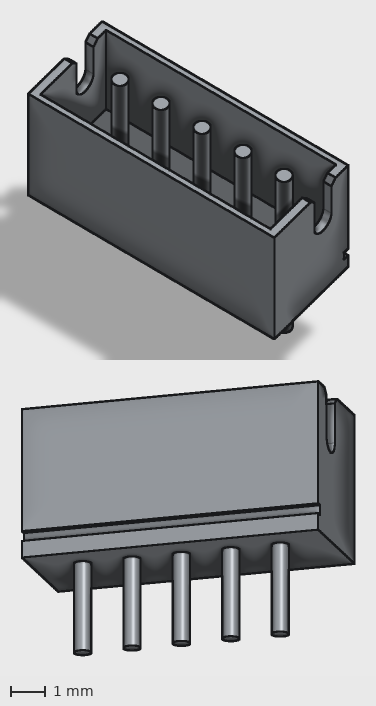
import cadquery as cq

LENGTH = 9.0
WIDTH = 3.5
HEIGHT = 4.5
END_WALL = 0.3
SIDE_WALL = 0.2
FLOOR_THICKNESS = 1.0
BACK_Y = WIDTH / 2

SLOT_WIDTH = 0.8
SLOT_DEPTH = 1.8
SLOT_FROM_BACK = 1.2
SLOT_CHAMFER = 0.2

GROOVE_BOTTOM = 0.5
GROOVE_HEIGHT = 0.3
GROOVE_DEPTH = 0.2

PIN_COUNT = 5
PIN_DIAMETER = 0.5
PIN_PITCH = LENGTH / (PIN_COUNT + 1)
PIN_FROM_BACK = 1.1
PIN_TOP_BELOW_RIM = 0.5
PIN_TAIL = 2.7
PIN_Y = BACK_Y - PIN_FROM_BACK
PIN_LENGTH = PIN_TAIL + HEIGHT - PIN_TOP_BELOW_RIM
PIN_POSITIONS = [((i - (PIN_COUNT - 1) / 2) * PIN_PITCH, PIN_Y) for i in range(PIN_COUNT)]


def make_shell():
    """Box with a rectangular cavity open at the top."""
    box = cq.Workplane("XY").box(LENGTH, WIDTH, HEIGHT, centered=(True, True, False))
    cavity = (
        cq.Workplane("XY")
        .workplane(offset=FLOOR_THICKNESS)
        .rect(LENGTH - 2 * END_WALL, WIDTH - 2 * SIDE_WALL)
        .extrude(HEIGHT - FLOOR_THICKNESS)
    )
    return box.cut(cavity)


def make_end_slots():
    """Slot profile in the YZ plane, run through both end walls."""
    radius = SLOT_WIDTH / 2
    center_y = BACK_Y - SLOT_FROM_BACK
    front_y = center_y - radius
    rear_y = center_y + radius
    slot_bottom = HEIGHT - SLOT_DEPTH
    arc_start = slot_bottom + radius
    chamfer_bottom = HEIGHT - SLOT_CHAMFER
    return (
        cq.Workplane("YZ")
        .moveTo(front_y - SLOT_CHAMFER, HEIGHT)
        .lineTo(front_y, chamfer_bottom)
        .lineTo(front_y, arc_start)
        .threePointArc((center_y, slot_bottom), (rear_y, arc_start))
        .lineTo(rear_y, chamfer_bottom)
        .lineTo(rear_y + SLOT_CHAMFER, HEIGHT)
        .close()
        .extrude(LENGTH / 2, both=True)
    )


def make_back_groove():
    """Rectangular bar that cuts the groove along the whole back wall."""
    return (
        cq.Workplane("XY")
        .box(LENGTH, GROOVE_DEPTH, GROOVE_HEIGHT, centered=(True, False, False))
        .translate((0, BACK_Y - GROOVE_DEPTH, GROOVE_BOTTOM))
    )


def make_pin(x, y):
    """Round contact that passes through the floor."""
    return (
        cq.Workplane("XY")
        .workplane(offset=-PIN_TAIL)
        .center(x, y)
        .circle(PIN_DIAMETER / 2)
        .extrude(PIN_LENGTH)
    )


def make_housing(pins):
    """Shell with end slots, back groove and a matching floor hole for each pin."""
    housing = make_shell().cut(make_end_slots()).cut(make_back_groove())
    for pin in pins:
        housing = housing.cut(pin)
    return housing


pins = [make_pin(x, y) for x, y in PIN_POSITIONS]
housing = make_housing(pins)

result = cq.Compound.makeCompound([housing.val(), *[pin.val() for pin in pins]])